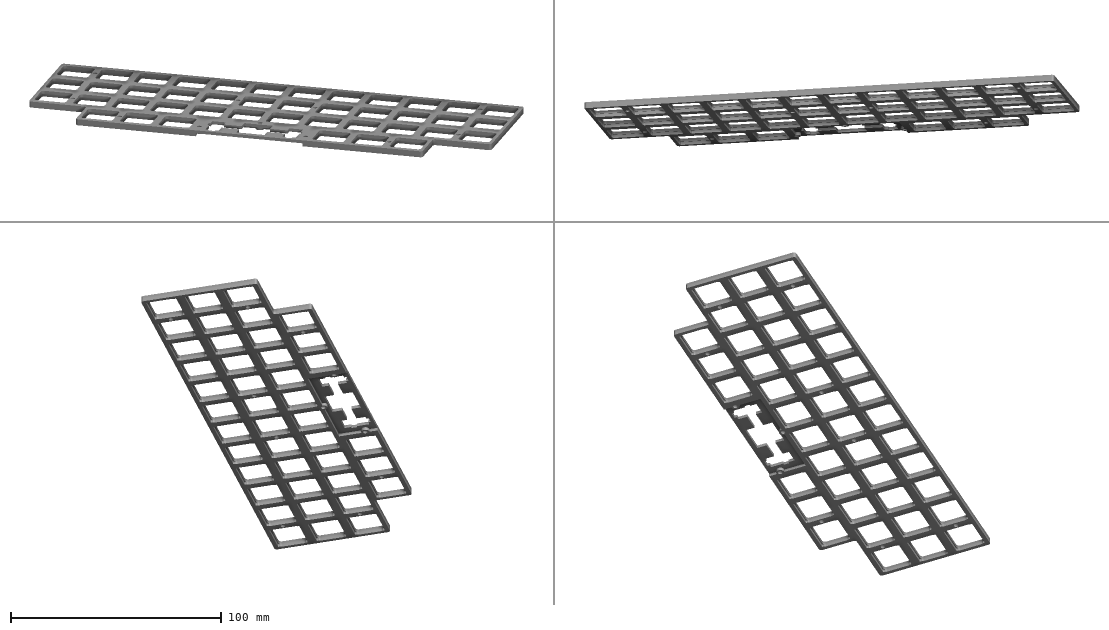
import cadquery as cq

KEY_PITCH = 19.05
COLUMNS = 12
MAIN_ROWS = 3
BOTTOM_ROW_UNITS = 9
THICKNESS = 3.0
CORNER_RADIUS = 1.2
LEFT_SHOULDER_DROP = 0.3

WIDTH = COLUMNS * KEY_PITCH
HEIGHT = (MAIN_ROWS + 1) * KEY_PITCH
BOTTOM_ROW_WIDTH = BOTTOM_ROW_UNITS * KEY_PITCH
BOTTOM_ROW_Y = (KEY_PITCH - HEIGHT) / 2
SHOULDER_Y = KEY_PITCH - HEIGHT / 2
MAIN_ROW_Y = [HEIGHT / 2 - (row + 0.5) * KEY_PITCH for row in range(MAIN_ROWS)]

KEY_WIDTH = 15.6
KEY_HEIGHT = 14.0
KEY_RADIUS = 1.6
CLIP_WIDTH = 15.0
CLIP_REACH = 0.4
CLIP_HEIGHT = KEY_HEIGHT + 2 * CLIP_REACH
CLIP_RADIUS = 0.5
CLIP_DEPTH = THICKNESS / 2
BOTTOM_KEY_UNITS = (2, 3, 4)

SPACE_SIZE = 14.0
STABILIZER_X = KEY_PITCH
STABILIZER_WIDTH = 6.65
STABILIZER_TOP = 5.53
STABILIZER_BOTTOM = -6.77
FOOT_WIDTH = 3.3
FOOT_BOTTOM = -7.97
SIDE_NOTCH_DEPTH = 0.87
SIDE_NOTCH_TOP = 2.3
SIDE_NOTCH_BOTTOM = -0.5
WIRE_SLOT_HEIGHT = 4.6

RELIEF_WIDTH = 53.0
RELIEF_DEPTH = THICKNESS / 2
BOSS_DIAMETER = 4.0

SCREW_DIAMETER = 2.2
OUTER_SCREW_X = 5 * KEY_PITCH
INNER_SCREW_X = KEY_PITCH
BOTTOM_SCREW_X = 3.5 * KEY_PITCH
SPACE_SCREW_X = 26.3
SPACE_SCREW_Y = -32.2


def block(x_min, x_max, y_min, y_max, z_max=THICKNESS):
    """Box standing on the underside of the plate, given by its limits."""
    return (
        cq.Workplane("XY")
        .box(x_max - x_min, y_max - y_min, z_max, centered=False)
        .translate((x_min, y_min, 0))
    )


def cylinders(centres, diameter):
    return cq.Workplane("XY").pushPoints(centres).circle(diameter / 2).extrude(THICKNESS)


def make_plate():
    """Main rows with the narrower bottom row below, all corners rounded."""
    outline = [
        (-WIDTH / 2, HEIGHT / 2),
        (WIDTH / 2, HEIGHT / 2),
        (WIDTH / 2, SHOULDER_Y),
        (BOTTOM_ROW_WIDTH / 2, SHOULDER_Y),
        (BOTTOM_ROW_WIDTH / 2, -HEIGHT / 2),
        (-BOTTOM_ROW_WIDTH / 2, -HEIGHT / 2),
        (-BOTTOM_ROW_WIDTH / 2, SHOULDER_Y - LEFT_SHOULDER_DROP),
        (-WIDTH / 2, SHOULDER_Y - LEFT_SHOULDER_DROP),
    ]
    plate = cq.Workplane("XY").polyline(outline).close().extrude(THICKNESS)
    return plate.edges("|Z").fillet(CORNER_RADIUS)


def key_centres():
    centres = []
    for y in MAIN_ROW_Y:
        for column in range(COLUMNS):
            centres.append(((column + 0.5) * KEY_PITCH - WIDTH / 2, y))
    for units in BOTTOM_KEY_UNITS:
        for side in (-1, 1):
            centres.append((side * units * KEY_PITCH, BOTTOM_ROW_Y))
    return centres


def key_pockets(width, height, radius, depth):
    """Rounded rectangle at every key, rising from the underside."""
    return (
        cq.Workplane("XY")
        .pushPoints(key_centres())
        .rect(width, height)
        .extrude(depth)
        .edges("|Z")
        .fillet(radius)
    )


def make_space_opening():
    """Space bar cutout: the right half is built first, then mirrored."""
    half_space = SPACE_SIZE / 2
    half_slot = WIRE_SLOT_HEIGHT / 2
    inner = STABILIZER_X - STABILIZER_WIDTH / 2
    outer = STABILIZER_X + STABILIZER_WIDTH / 2
    foot_inner = STABILIZER_X - FOOT_WIDTH / 2
    foot_outer = STABILIZER_X + FOOT_WIDTH / 2
    notch_outer = outer + SIDE_NOTCH_DEPTH
    right_half = (
        block(0, half_space, -half_space, half_space)
        .union(block(0, STABILIZER_X, -half_slot, half_slot))
        .union(block(inner, outer, STABILIZER_BOTTOM, STABILIZER_TOP))
        .union(block(foot_inner, foot_outer, FOOT_BOTTOM, 0))
        .union(block(STABILIZER_X, notch_outer, SIDE_NOTCH_BOTTOM, SIDE_NOTCH_TOP))
    )
    return right_half.union(right_half.mirror("YZ")).translate((0, BOTTOM_ROW_Y, 0))


def space_screw_centres():
    return [
        (0, SHOULDER_Y),
        (-SPACE_SCREW_X, SPACE_SCREW_Y),
        (SPACE_SCREW_X, SPACE_SCREW_Y),
    ]


def make_relief():
    """Underside relief open to the front edge, leaving a boss around each space bar screw."""
    half = RELIEF_WIDTH / 2
    pocket = block(-half, half, -HEIGHT / 2, SHOULDER_Y, RELIEF_DEPTH)
    return pocket.cut(cylinders(space_screw_centres(), BOSS_DIAMETER))


def screw_centres():
    top_y, middle_y, lower_y = MAIN_ROW_Y
    centres = space_screw_centres()
    for side in (-1, 1):
        centres.append((side * OUTER_SCREW_X, top_y))
        centres.append((side * INNER_SCREW_X, middle_y))
        centres.append((side * OUTER_SCREW_X, lower_y))
        centres.append((side * BOTTOM_SCREW_X, BOTTOM_ROW_Y))
    return centres


result = (
    make_plate()
    .cut(key_pockets(KEY_WIDTH, KEY_HEIGHT, KEY_RADIUS, THICKNESS))
    .cut(key_pockets(CLIP_WIDTH, CLIP_HEIGHT, CLIP_RADIUS, CLIP_DEPTH))
    .cut(make_space_opening())
    .cut(make_relief())
    .cut(cylinders(screw_centres(), SCREW_DIAMETER))
)